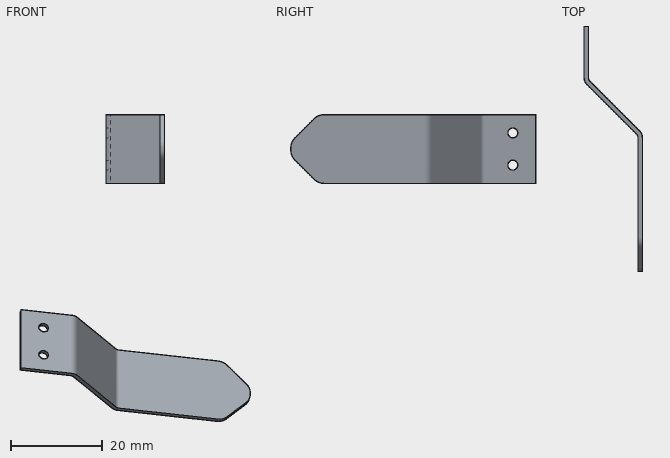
import cadquery as cq
import math

thickness = 1.0
width = 15.0

bend_angle = math.radians(45)
inner_bend_radius = 1.0
outer_bend_radius = inner_bend_radius + thickness
slope_length = 18.0

mount_leg_length = 12.0
blade_leg_length = 30.0

tip_chamfer = 6.0
tip_fillet_radius = 3.0

hole_diameter = 2.1
hole_spacing = 7.0
hole_end_distance = 5.0

overall_depth = slope_length * math.sin(bend_angle)
leg_offset = overall_depth - thickness
corner_shift = thickness * math.tan(bend_angle / 2)
blade_corner_y = blade_leg_length
mount_corner_y = blade_corner_y - corner_shift + leg_offset / math.tan(bend_angle)
mount_end_y = mount_corner_y + mount_leg_length

mount_outer = (0, mount_corner_y)
mount_inner = (thickness, mount_corner_y + corner_shift)
blade_outer = (overall_depth, blade_corner_y)
blade_inner = (leg_offset, blade_corner_y - corner_shift)


def make_bent_strip():
    """Extrude the bent profile along Z, then round both sides of each bend."""
    profile = [
        (0, mount_end_y),
        mount_outer,
        blade_inner,
        (leg_offset, 0),
        (overall_depth, 0),
        blade_outer,
        mount_inner,
        (thickness, mount_end_y),
    ]
    strip = cq.Workplane("XY").polyline(profile).close().extrude(width / 2, both=True)
    bends = [
        (mount_outer, outer_bend_radius),
        (mount_inner, inner_bend_radius),
        (blade_outer, outer_bend_radius),
        (blade_inner, inner_bend_radius),
    ]
    corner_reach = thickness / 4
    for (x, y), radius in bends:
        at_corner = cq.selectors.BoxSelector(
            (x - corner_reach, y - corner_reach, -width),
            (x + corner_reach, y + corner_reach, width),
        )
        strip = strip.edges("|Z").edges(at_corner).fillet(radius)
    return strip


def make_side_outline():
    """Block with the side outline of the whole part, ending in a blunt point with rounded corners."""
    half_width = width / 2
    half_flat = half_width - tip_chamfer
    outline = [
        (0, half_flat),
        (tip_chamfer, half_width),
        (mount_end_y, half_width),
        (mount_end_y, -half_width),
        (tip_chamfer, -half_width),
        (0, -half_flat),
    ]
    block = cq.Workplane("YZ").polyline(outline).close().extrude(overall_depth)
    tip_zone = cq.selectors.BoxSelector(
        (-thickness, -thickness, -width),
        (overall_depth + thickness, tip_chamfer + thickness, width),
    )
    return block.edges("|X").edges(tip_zone).fillet(tip_fillet_radius)


def make_holes():
    """Cylinders that cut the two mounting holes through the mount leg."""
    hole_y = mount_end_y - hole_end_distance
    centers = [(hole_y, side * hole_spacing / 2) for side in (-1, 1)]
    return cq.Workplane("YZ").pushPoints(centers).circle(hole_diameter / 2).extrude(thickness)


result = make_bent_strip().intersect(make_side_outline()).cut(make_holes())